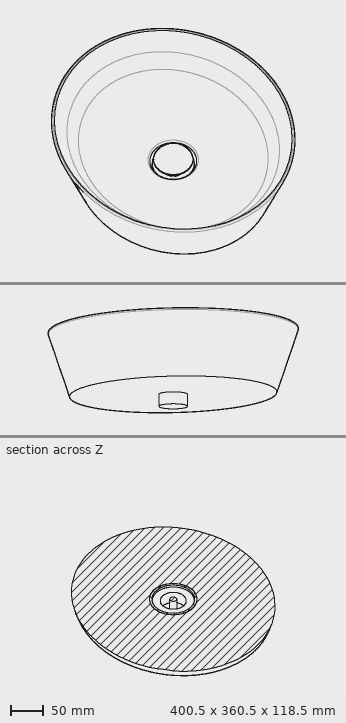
import cadquery as cq
import math

BASIN_LENGTH = 400.5
BASIN_WIDTH = 360.5
BASIN_HEIGHT = 100.0
WALL_DRAFT = math.radians(18.6)
RIM_ROUND = 2.5
RIM_WIDTH = 5.0
OVAL_DIFFERENCE = (BASIN_LENGTH - BASIN_WIDTH) / 2

RIM_ROUND_CENTER_X = BASIN_LENGTH / 2 - RIM_ROUND
SHARP_RIM_HALF_X = RIM_ROUND_CENTER_X + RIM_ROUND * (1 + math.sin(WALL_DRAFT)) / math.cos(WALL_DRAFT)
BASE_HALF_X = SHARP_RIM_HALF_X - BASIN_HEIGHT * math.tan(WALL_DRAFT)

WALL_FOOT_HALF_X = 176.5
WALL_FOOT_Z = 71.0
SHOULDER_HALF_X = 158.5
SHOULDER_HALF_Y = 139.5
SHOULDER_Z = 50.0
BOWL_RINGS = [
    (136.0, 122.5, 37.2),
    (108.0, 100.0, 29.5),
    (72.0, 70.0, 26.0),
]

DRAIN_RADIUS = 35.5
DRAIN_EDGE_ROUND = 3.0
DRAIN_EDGE_Z = 23.5

CUP_TOP_Z = DRAIN_EDGE_Z - DRAIN_EDGE_ROUND
CUP_BORE_RADIUS = 32.0
CUP_LIP_DEPTH = 5.5
CUP_FLOOR_Z = 9.0
CUP_FLOOR_THICKNESS = 4.0
CUP_BOTTOM_Z = CUP_FLOOR_Z - CUP_FLOOR_THICKNESS
TAIL_RADIUS = 22.0
TAIL_DROP = 18.5
BORE_RADIUS = 19.5
BORE_FLOOR_Z = -11.5

CAP_RADIUS = 30.0
CAP_EDGE_TOP_Z = 26.5
CAP_EDGE_THICKNESS = 2.0
DOME_RISE = 4.0
STEM_RADIUS = 5.5


def oval_loft(rings, ruled):
    """Solid through horizontal ovals given as (X half-axis, Y half-axis, Z)."""
    solid = cq.Workplane("XY")
    plane_z = 0
    for half_x, half_y, z in rings:
        solid = solid.workplane(offset=z - plane_z).ellipse(half_x, half_y)
        plane_z = z
    return solid.loft(ruled=ruled)


def wall_ring(half_x, z):
    return (half_x, half_x - OVAL_DIFFERENCE, z)


def cylinder(radius, bottom_z, top_z):
    return cq.Workplane("XY", origin=(0, 0, bottom_z)).circle(radius).extrude(top_z - bottom_z)


def make_basin():
    base = wall_ring(BASE_HALF_X, 0)
    outer_rim = wall_ring(SHARP_RIM_HALF_X, BASIN_HEIGHT)
    inner_rim = wall_ring(SHARP_RIM_HALF_X - RIM_WIDTH, BASIN_HEIGHT)
    wall_foot = wall_ring(WALL_FOOT_HALF_X, WALL_FOOT_Z)
    shoulder = (SHOULDER_HALF_X, SHOULDER_HALF_Y, SHOULDER_Z)
    drain_edge = (DRAIN_RADIUS, DRAIN_RADIUS, DRAIN_EDGE_Z)

    basin = oval_loft([base, outer_rim], ruled=True)
    basin = basin.cut(oval_loft([shoulder, wall_foot, inner_rim], ruled=True))
    basin = basin.cut(oval_loft([drain_edge, *reversed(BOWL_RINGS), shoulder], ruled=False))
    basin = basin.faces(">Z").edges().fillet(RIM_ROUND)

    basin = basin.cut(cylinder(DRAIN_RADIUS, CUP_BOTTOM_Z, DRAIN_EDGE_Z))
    basin = basin.cut(cylinder(TAIL_RADIUS, 0, CUP_BOTTOM_Z))

    search = DRAIN_RADIUS + DRAIN_EDGE_ROUND
    drain_rim = cq.selectors.BoxSelector(
        (-search, -search, CUP_TOP_Z),
        (search, search, DRAIN_EDGE_Z + DRAIN_EDGE_ROUND),
        boundingbox=True,
    )
    return basin.edges(drain_rim).fillet(DRAIN_EDGE_ROUND)


def make_waste():
    profile = [
        (0, -TAIL_DROP),
        (TAIL_RADIUS, -TAIL_DROP),
        (TAIL_RADIUS, CUP_BOTTOM_Z),
        (DRAIN_RADIUS, CUP_BOTTOM_Z),
        (DRAIN_RADIUS, CUP_TOP_Z),
        (CUP_BORE_RADIUS, CUP_TOP_Z - CUP_LIP_DEPTH),
        (CUP_BORE_RADIUS, CUP_FLOOR_Z),
        (BORE_RADIUS, CUP_FLOOR_Z),
        (BORE_RADIUS, BORE_FLOOR_Z),
        (0, BORE_FLOOR_Z),
    ]
    return cq.Workplane("XZ").polyline(profile).close().revolve(360, (0, 0), (0, 1))


def make_plug():
    cap_bottom_z = CAP_EDGE_TOP_Z - CAP_EDGE_THICKNESS
    dome_radius = (CAP_RADIUS**2 + DOME_RISE**2) / (2 * DOME_RISE)
    dome_center_z = CAP_EDGE_TOP_Z + DOME_RISE - dome_radius
    mid_x = CAP_RADIUS / 2
    mid_z = dome_center_z + math.sqrt(dome_radius**2 - mid_x**2)
    return (
        cq.Workplane("XZ")
        .moveTo(0, BORE_FLOOR_Z)
        .lineTo(STEM_RADIUS, BORE_FLOOR_Z)
        .lineTo(STEM_RADIUS, cap_bottom_z)
        .lineTo(CAP_RADIUS, cap_bottom_z)
        .lineTo(CAP_RADIUS, CAP_EDGE_TOP_Z)
        .threePointArc((mid_x, mid_z), (0, CAP_EDGE_TOP_Z + DOME_RISE))
        .close()
        .revolve(360, (0, 0), (0, 1))
    )


basin = make_basin()
waste = make_waste()
plug = make_plug()
result = cq.Compound.makeCompound([basin.solids().val(), waste.val(), plug.val()])